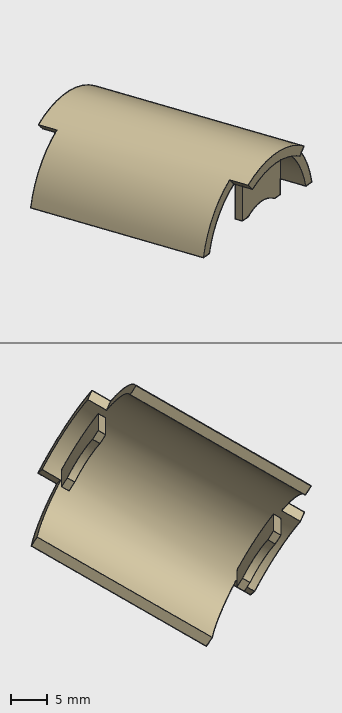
import cadquery as cq
import math

total_length = 34.0
body_length = 28.0
outer_radius = 14.0
wall = 1.5
inner_radius = outer_radius - wall
rim_height = 3.0

tab_half_width = 7.07
tab_side_angle = 45.0

web_thickness = 1.2
web_width = 9.6
web_bottom = 5.0
saddle_radius = 6.0


def cylinder_along_x(radius, length):
    return cq.Workplane("YZ").circle(radius).extrude(length / 2, both=True)


def shell(length):
    ring = cylinder_along_x(outer_radius, length).cut(cylinder_along_x(inner_radius, length))
    upper = cq.Workplane("XY").workplane(offset=rim_height).rect(length, 2 * outer_radius).extrude(outer_radius)
    return ring.intersect(upper)


def crown():
    """Full-length strip of the shell between the two sloping tab sides."""
    edge_height = math.sqrt(outer_radius**2 - tab_half_width**2)
    slope = math.tan(math.radians(tab_side_angle))
    apex_height = edge_height - tab_half_width * slope
    reach = outer_radius / slope
    wedge = (
        cq.Workplane("YZ")
        .moveTo(0, apex_height)
        .lineTo(reach, apex_height + outer_radius)
        .lineTo(-reach, apex_height + outer_radius)
        .close()
        .extrude(total_length / 2, both=True)
    )
    return shell(total_length).intersect(wedge)


def web(center_x):
    """Upright plate with a concave saddle, reaching up into the shell."""
    mid_wall_radius = outer_radius - wall / 2
    plate = (
        cq.Workplane("XY")
        .workplane(offset=web_bottom)
        .center(center_x, 0)
        .rect(web_thickness, web_width)
        .extrude(outer_radius - web_bottom)
    )
    return plate.intersect(cylinder_along_x(mid_wall_radius, total_length)).cut(
        cylinder_along_x(saddle_radius, total_length)
    )


result = shell(body_length).union(crown())
for side in (-1, 1):
    result = result.union(web(side * body_length / 2))